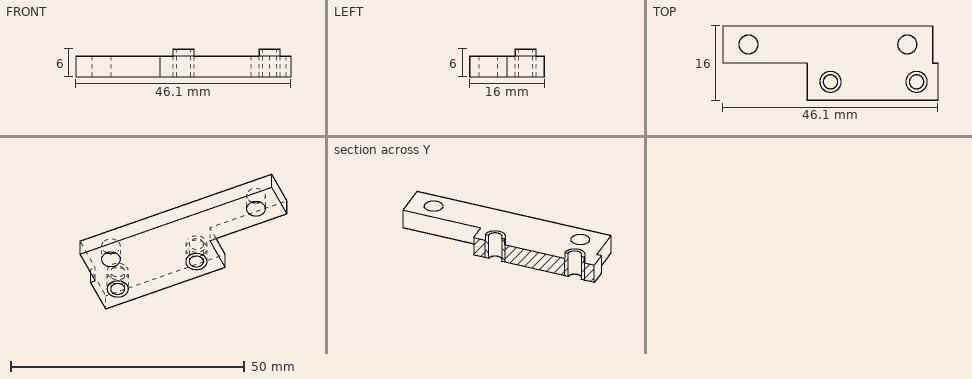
import cadquery as cq

overall_length = 46.1
plate_width = 16.0
plate_thickness = 4.5
back_strip_length = 45.0
front_strip_start = 18.05
strip_width = plate_width / 2

mounting_hole_diameter = 4.0
mounting_hole_xs = (5.5, 39.5)
mounting_hole_y = plate_width - strip_width / 2

overall_height = 6.0
sleeve_diameter = 4.5
sleeve_bore = 3.0
sleeve_xs = (23.05, 41.5)
sleeve_y = strip_width / 2

mounting_centres = [(x, mounting_hole_y) for x in mounting_hole_xs]
sleeve_centres = [(x, sleeve_y) for x in sleeve_xs]


def make_plate():
    """Stepped plate with two mounting holes and a through seat for each sleeve."""
    outline = [
        (0, strip_width),
        (front_strip_start, strip_width),
        (front_strip_start, 0),
        (overall_length, 0),
        (overall_length, strip_width),
        (back_strip_length, strip_width),
        (back_strip_length, plate_width),
        (0, plate_width),
    ]
    blank = cq.Workplane("XY").polyline(outline).close().extrude(plate_thickness)
    top_face = blank.faces(">Z").workplane(origin=(0, 0, 0))
    drilled = top_face.pushPoints(mounting_centres).hole(mounting_hole_diameter)
    return drilled.pushPoints(sleeve_centres).hole(sleeve_diameter)


def make_sleeve(centre):
    """Plain tube that passes through the plate, flush with its underside."""
    return (
        cq.Workplane("XY")
        .center(*centre)
        .circle(sleeve_diameter / 2)
        .circle(sleeve_bore / 2)
        .extrude(overall_height)
    )


plate = make_plate()
sleeves = [make_sleeve(centre) for centre in sleeve_centres]

result = cq.Compound.makeCompound([plate.val(), *[sleeve.val() for sleeve in sleeves]])